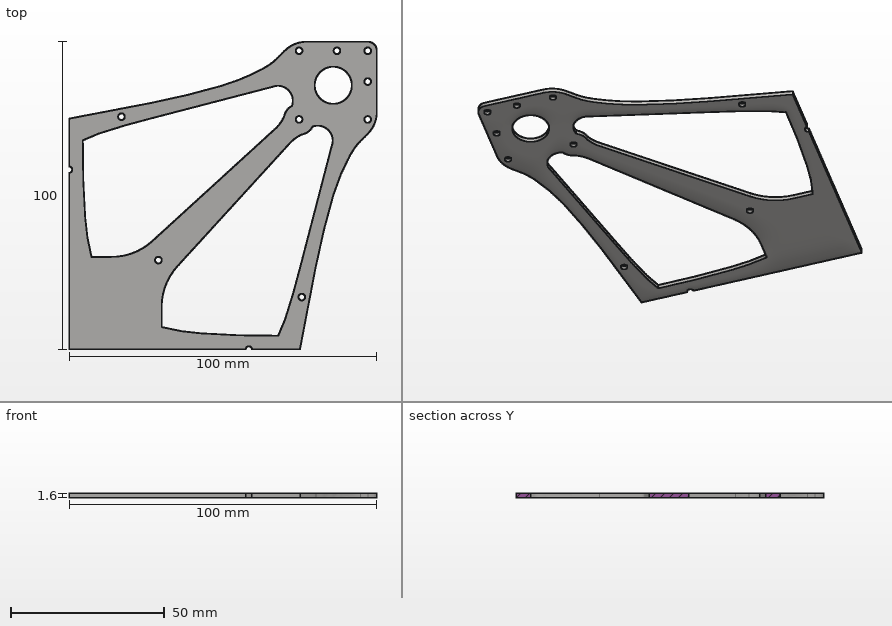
import cadquery as cq
import math

SIZE = 100.0
THICKNESS = 1.6
DIAGONAL_NORMAL = (1, -1, 0)

EDGE_LENGTH = 75.0
FLARE_START = (26.6, 80.1)
FLARE_POINTS = [(42.0, 83.6), (52.1, 86.5), (61.0, 90.2)]
FLARE_END = (67.5, 94.5)
FLARE_END_ANGLE = math.radians(45)
SHOULDER_RADIUS = 10.0
CORNER_RADIUS = 3.0

RIM_CORNER = (4.5, 67.9)
RIM_TOP_POINTS = [(10.0, 70.2), (17.7, 72.6), (27.0, 75.1)]
RIM_TOP_START_SLOPE = 0.5
RIM_TOP_SLOPE = 0.26
LOBE_START_X = 66.0
LOBE_MIDDLE = (71.2, 84.2)
RIM_SIDE_POINTS = [(6.1, 35.6), (5.1, 45.0), (4.6, 56.0)]
FOOT_Y = 30.1
FOOT_START_X = 7.3
FOOT_RADIUS = 20.0
STRUT_START = (27.0, 35.2)
STRUT_END = (66.3, 71.1)
NECK_MIDDLE = (68.5, 73.4)

BOLT_DIAMETER = 2.1
BOLT_NEAR = 74.7
BOLT_MIDDLE = 87.0
BOLT_FAR = 97.0
FRAME_HOLE = (17.0, 75.6)
STRUT_HOLE = (29.0, 29.0)
NOTCH_DIAMETER = 2.0
NOTCH_POSITION = 58.4
BORE_DIAMETER = 12.0
BORE_CENTER = (85.8, 85.8)

BOSS_RADIUS = 5.0
BOSS_START_ANGLE = 170.0
BOSS_END_ANGLE = 118.0


def flip(point):
    """Mirror a point about the diagonal Y = X."""
    return (point[1], point[0])


def reverse(direction):
    return (-direction[0], -direction[1])


def polar(center, radius, degrees):
    angle = math.radians(degrees)
    return (center[0] + radius * math.cos(angle), center[1] + radius * math.sin(angle))


def plate():
    tip = (0, EDGE_LENGTH)
    start_direction = (FLARE_START[0] - tip[0], FLARE_START[1] - tip[1])
    end_direction = (math.cos(FLARE_END_ANGLE), math.sin(FLARE_END_ANGLE))
    shoulder_y = SIZE - SHOULDER_RADIUS
    arc_drop = SHOULDER_RADIUS * (1 - math.cos(FLARE_END_ANGLE))
    arc_start = (FLARE_END[0] + SIZE - arc_drop - FLARE_END[1], SIZE - arc_drop)
    shoulder_x = arc_start[0] + SHOULDER_RADIUS * math.sin(FLARE_END_ANGLE)
    arc_middle = polar((shoulder_x, shoulder_y), SHOULDER_RADIUS, 90 + math.degrees(FLARE_END_ANGLE) / 2)
    arc_end = (shoulder_x, SIZE)
    return (
        cq.Workplane("XY")
        .polyline([tip, (0, 0), flip(tip), flip(FLARE_START)])
        .spline(
            [flip(p) for p in (*FLARE_POINTS, FLARE_END)],
            tangents=[flip(start_direction), flip(end_direction)],
            includeCurrent=True,
        )
        .lineTo(*flip(arc_start))
        .threePointArc(flip(arc_middle), flip(arc_end))
        .lineTo(SIZE, SIZE)
        .lineTo(*arc_end)
        .threePointArc(arc_middle, arc_start)
        .lineTo(*FLARE_END)
        .spline(
            [*reversed(FLARE_POINTS), FLARE_START],
            tangents=[reverse(end_direction), reverse(start_direction)],
            includeCurrent=True,
        )
        .close()
        .extrude(THICKNESS)
        .edges(cq.selectors.NearestToPointSelector((SIZE, SIZE, THICKNESS / 2)))
        .fillet(CORNER_RADIUS)
    )


def window():
    inner_bolt = (BOLT_NEAR, BOLT_NEAR)
    boss_start = polar(inner_bolt, BOSS_RADIUS, BOSS_START_ANGLE)
    boss_middle = polar(inner_bolt, BOSS_RADIUS, (BOSS_START_ANGLE + BOSS_END_ANGLE) / 2)
    boss_end = polar(inner_bolt, BOSS_RADIUS, BOSS_END_ANGLE)
    top_end = RIM_TOP_POINTS[-1]
    lobe_start = (LOBE_START_X, top_end[1] + RIM_TOP_SLOPE * (LOBE_START_X - top_end[0]))
    strut_angle = math.atan2(STRUT_END[1] - STRUT_START[1], STRUT_END[0] - STRUT_START[0])
    slant_x = STRUT_START[0] - (STRUT_START[1] - FOOT_Y) / math.tan(strut_angle)
    foot_end = (slant_x - FOOT_RADIUS * math.tan(strut_angle / 2), FOOT_Y)
    return (
        cq.Workplane("XY")
        .moveTo(*RIM_CORNER)
        .spline(RIM_TOP_POINTS, tangents=[(1, RIM_TOP_START_SLOPE), (1, RIM_TOP_SLOPE)], includeCurrent=True)
        .lineTo(*lobe_start)
        .threePointArc(LOBE_MIDDLE, boss_end)
        .threePointArc(boss_middle, boss_start)
        .threePointArc(NECK_MIDDLE, STRUT_END)
        .lineTo(*STRUT_START)
        .tangentArcPoint(foot_end, relative=False)
        .lineTo(FOOT_START_X, FOOT_Y)
        .spline([*RIM_SIDE_POINTS, RIM_CORNER], includeCurrent=True)
        .close()
        .extrude(THICKNESS)
    )


def drill(points, diameter):
    return cq.Workplane("XY").pushPoints(points).circle(diameter / 2).extrude(THICKNESS)


bolt_side = [(BOLT_NEAR, BOLT_FAR), (BOLT_MIDDLE, BOLT_FAR), FRAME_HOLE]
bolt_holes = [*bolt_side, *map(flip, bolt_side)]
bolt_holes += [(BOLT_NEAR, BOLT_NEAR), (BOLT_FAR, BOLT_FAR), STRUT_HOLE]
notch = (0, NOTCH_POSITION)

upper_window = window()
result = (
    plate()
    .cut(upper_window)
    .cut(upper_window.mirror(DIAGONAL_NORMAL))
    .cut(drill(bolt_holes, BOLT_DIAMETER))
    .cut(drill([notch, flip(notch)], NOTCH_DIAMETER))
    .cut(drill([BORE_CENTER], BORE_DIAMETER))
)